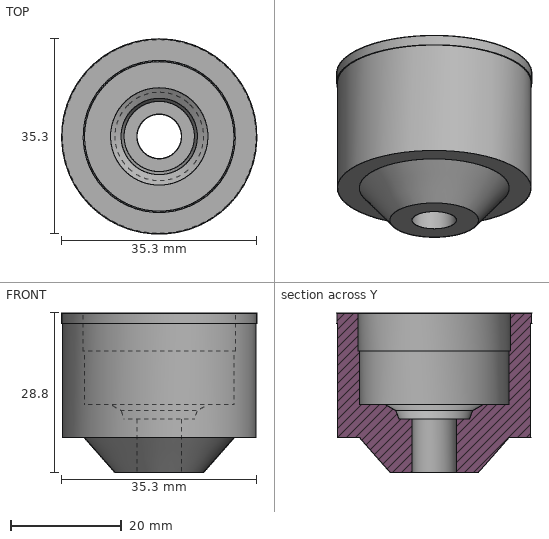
import cadquery as cq
import math

total_height = 28.8
flange_height = 1.85
body_height = 22.5

flange_radius = 17.65
body_radius = 17.5
nose_top_radius = 13.55
nose_end_radius = 8.0

upper_bore_radius = 13.75
upper_bore_depth = 6.8
lower_bore_radius = 13.5
lower_bore_depth = 16.5

funnel_top_radius = 8.8
funnel_half_angle = 60.0
seat_top_radius = 6.9
seat_floor_radius = 6.35
seat_depth = 1.5
outlet_radius = 4.0

body_base = total_height - body_height
flange_base = total_height - flange_height
ledge_level = total_height - upper_bore_depth
bore_floor = total_height - lower_bore_depth
funnel_depth = (funnel_top_radius - seat_top_radius) / math.tan(math.radians(funnel_half_angle))
seat_level = bore_floor - funnel_depth
seat_floor = seat_level - seat_depth


def revolve_about_z(points):
    """Turn a closed (radius, height) outline once around the Z axis."""
    outline = cq.Workplane("YZ").polyline(points).close()
    return outline.revolve(360, (0, 0, 0), (0, 1, 0))


def make_outer_shape():
    """Conical nose, cylindrical body and the slightly wider flange at the top."""
    return revolve_about_z([
        (0, 0),
        (nose_end_radius, 0),
        (nose_top_radius, body_base),
        (body_radius, body_base),
        (body_radius, flange_base),
        (flange_radius, flange_base),
        (flange_radius, total_height),
        (0, total_height),
    ])


def make_passage():
    """Hollow through the part: outlet, tapered seat, funnel and stepped bore."""
    return revolve_about_z([
        (0, 0),
        (outlet_radius, 0),
        (outlet_radius, seat_floor),
        (seat_floor_radius, seat_floor),
        (seat_top_radius, seat_level),
        (funnel_top_radius, bore_floor),
        (lower_bore_radius, bore_floor),
        (lower_bore_radius, ledge_level),
        (upper_bore_radius, ledge_level),
        (upper_bore_radius, total_height),
        (0, total_height),
    ])


result = make_outer_shape().cut(make_passage())